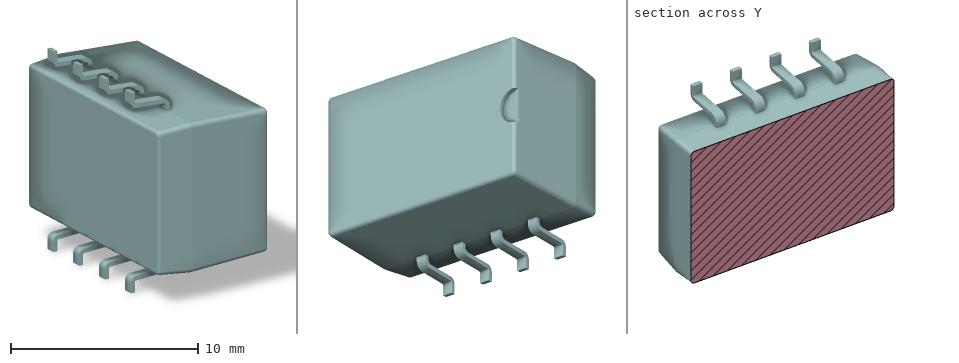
import cadquery as cq
import math

body_length = 13.2
body_height = 8.5
standoff = 0.25
parting_y = 2.25
body_back_y = 7.25
front_draft = 5.0
back_draft = 2.0
side_fillet = 0.25
end_fillet = 0.2

notch_radius = 1.0
notch_depth = 0.3

leads_per_side = 4
lead_pitch = 2.54
lead_width = 0.6
lead_thickness = 0.25
lead_tip_z = 5.7
lead_root_z = 3.5
shoulder_z = 4.92
arm_slope = 3.0
shoulder_inner_radius = 0.25
shoulder_outer_radius = shoulder_inner_radius + lead_thickness
foot_inner_radius = 0.1
foot_outer_radius = foot_inner_radius + lead_thickness


def make_body_half(depth, draft):
    """Tapered block starting at the parting plane; positive depth runs towards -Y."""
    half = cq.Workplane("XZ", origin=(0, parting_y, 0)).rect(body_length, body_height)
    return half.extrude(depth, taper=draft)


def make_body():
    front_half = make_body_half(parting_y - standoff, front_draft)
    back_half = make_body_half(body_back_y - parting_y, back_draft)
    back_half = back_half.rotate((0, parting_y, 0), (1, parting_y, 0), 180)
    body = front_half.union(back_half)
    body = body.edges("not #Y").fillet(side_fillet)
    return body.faces("<Y or >Y").edges().fillet(end_fillet)


def make_notch():
    back_end_x = -body_length / 2 + (body_back_y - parting_y) * math.tan(math.radians(back_draft))
    notch = cq.Workplane("XZ", origin=(back_end_x, body_back_y, 0)).circle(notch_radius)
    return notch.extrude(notch_depth)


def make_lead():
    """One lead on the +Z side, centred on X = 0."""
    slope = math.radians(arm_slope)
    arm_drop = lead_thickness / math.cos(slope)
    root_front_y = parting_y
    root_back_y = parting_y + lead_thickness

    def arm_outer_z(y):
        return shoulder_z + (root_back_y - y) * math.tan(slope)

    shoulder_outer = (root_back_y, shoulder_z)
    shoulder_inner = (root_front_y, arm_outer_z(root_front_y) - arm_drop)
    foot_inner = (lead_thickness, arm_outer_z(lead_thickness))
    foot_outer = (0, arm_outer_z(0) - arm_drop)
    outline = [
        (root_front_y, lead_root_z),
        (root_back_y, lead_root_z),
        shoulder_outer,
        foot_inner,
        (lead_thickness, lead_tip_z),
        (0, lead_tip_z),
        foot_outer,
        shoulder_inner,
    ]
    lead = cq.Workplane("YZ").polyline(outline).close().extrude(lead_width / 2, both=True)
    bends = [
        (shoulder_outer, shoulder_outer_radius),
        (shoulder_inner, shoulder_inner_radius),
        (foot_inner, foot_inner_radius),
        (foot_outer, foot_outer_radius),
    ]
    for (corner_y, corner_z), radius in bends:
        corner_edge = cq.selectors.NearestToPointSelector((0, corner_y, corner_z))
        lead = lead.edges("|X").edges(corner_edge).fillet(radius)
    return lead


def add_leads(part):
    top_lead = make_lead()
    bottom_lead = top_lead.mirror("XY")
    for index in range(leads_per_side):
        x = (index - (leads_per_side - 1) / 2) * lead_pitch
        part = part.union(top_lead.translate((x, 0, 0)))
        part = part.union(bottom_lead.translate((x, 0, 0)))
    return part


result = add_leads(make_body().cut(make_notch()))